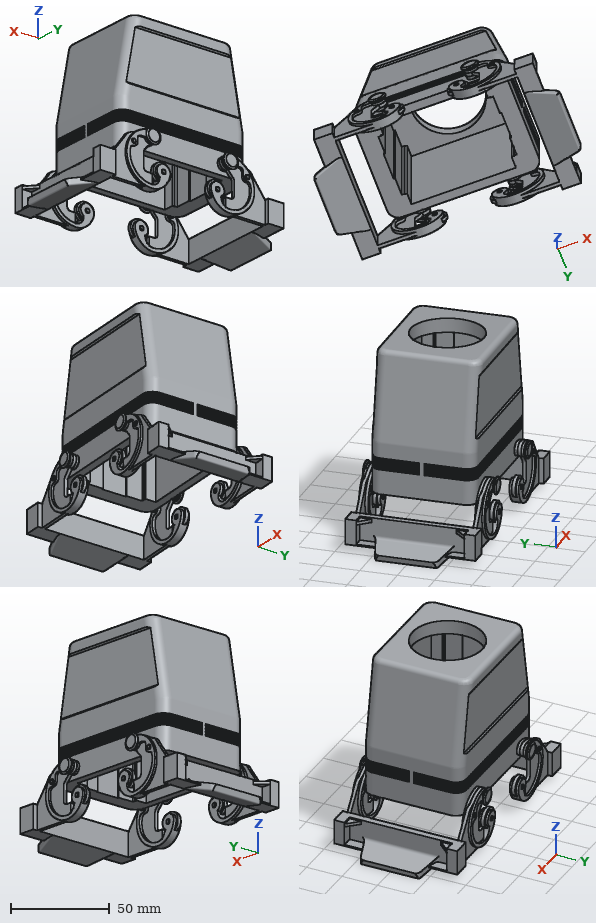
import cadquery as cq
import math


HOOD_HALF_LENGTH = 41.0
HOOD_HALF_WIDTH = 28.1
HOOD_HEIGHT = 75.2
HOOD_TOP_HALF_LENGTH = 32.5
TAPER_START_Z = 28.2
TAPER_BLEND_RADIUS = 5.3
HOOD_CORNER_RADIUS = 6.0
HOOD_TOP_RADIUS = 2.9
CABLE_HOLE_DIAMETER = 39.1
ROOF_THICKNESS = 7.7

CAVITY_STEPS = [(28.2, 23.3), (29.5, 17.0), (31.0, 16.8), (31.8, 7.2)]

RECESS_DEPTH = 0.8
RECESS_BOTTOM_Z = 34.6
RECESS_TOP_Z = 68.1
RECESS_BEVEL = 0.9

GROOVE_COUNT = 4
GROOVE_PITCH = 1.7
GROOVE_HEIGHT = 1.2
GROOVE_DEPTH = 0.4
FIRST_GROOVE_Z = 13.5
GROOVE_GAP = 2.7

ARM_INNER_Y = 28.5
ARM_OUTER_Y = 33.5
PLATE_INNER_Y = 30.2
PLATE_OUTER_Y = 32.2

PIVOT_X = -25.0
PIVOT_Z = 6.1
PIVOT_PIN_RADIUS = 2.7
PIVOT_PIN_ENGAGEMENT = 1.2
BUTTON_RADIUS = 4.7
BUTTON_FACE_RADIUS = 3.6
BUTTON_THICKNESS = 1.5
BUTTON_BEVEL_DEPTH = 0.6
BUTTON_OUTER_Y = 35.5

HOOK_RADIUS = 16.1
HOOK_BAND = 2.1
HOOK_Z = -6.3
PIVOT_BOSS_RADIUS = HOOK_Z + HOOK_RADIUS - PIVOT_Z
PLATE_RIM = 0.1
HOOK_BOTTOM_Z = HOOK_Z - HOOK_RADIUS
HOOK_INNER_RADIUS = HOOK_RADIUS - HOOK_BAND
NECK_OUTER_RADIUS = 11.8
NECK_INNER_RADIUS = 5.2

PAD_TOP_Z = 4.9
PAD_BOTTOM_Z = -1.9
PAD_EDGE_X = -34.0
PAD_TOP_RADIUS = 2.3
PAD_BOTTOM_RADIUS = 2.5
PAD_END_X = -38.7
PAD_END_MIDPOINT = (-37.9, -2.4)

SHOULDER_START = (-41.0, 2.8)
SHOULDER_MIDPOINT = (-40.0, 4.3)
SHOULDER_END = (-38.6, 5.3)
SHOULDER_TOP_X = -34.7
SLOT_X = -29.1
SLOT_FLOOR_Z = -13.5
SLOT_RADIUS = 2.1
SLOT_TOP_START = (-28.3, -1.3)
SLOT_TOP_MIDPOINT = (-28.9, -2.0)
SLOT_TOP_END_Z = -2.9
TOE_X = -23.7

TIP_X = -17.4
TIP_Z = -11.3
TIP_RADIUS = 4.3
ROLLER_RADIUS = 5.6

RIVET_X = -36.6
RIVET_Z = 0.7
RIVET_RADIUS = 1.3
RIVET_HEAD = 0.4
RIVET_BEVEL = 0.33

BAR_OUTER_X = -59.1
BAR_INNER_X = -49.1
BAR_HALF_WIDTH = 34.7
BAR_TOP_Z = -8.1
BAR_BOTTOM_Z = -22.0
POCKET_DEPTH = 6.0
POCKET_HALF_WIDTH = 28.9
POCKET_FLOOR = 0.8
POCKET_WALL_X = BAR_OUTER_X + POCKET_DEPTH
GUSSET_LENGTH = 6.4
GUSSET_THICKNESS = 1.7
GUSSET_DROP = 0.8

TAB_TIP_X = -66.5
TAB_TIP_Z = -22.5
TAB_ANGLE = math.radians(15)
TAB_THICKNESS = 3.9
TAB_TIP_HALF_WIDTH = 16.4
TAB_ROOT_HALF_WIDTH = 21.5
TAB_CORNER_RADIUS = 3.2
TAB_EDGE_RADIUS = 0.8
TAB_ROOT_RADIUS = 1.7


def box(x_range, y_range, z_range):
    """Axis-aligned box between pairs of limits."""
    size = [limits[1] - limits[0] for limits in (x_range, y_range, z_range)]
    corner = (x_range[0], y_range[0], z_range[0])
    return cq.Workplane("XY").box(*size, centered=False).translate(corner)


def side_plane(distance):
    """XZ plane at Y = -distance, with its normal toward -Y."""
    return cq.Workplane("XZ").workplane(offset=distance)


def side_disc(x, z, radius, inner_y, outer_y):
    """Disc on the -Y side, spanning two distances from the centre plane."""
    return side_plane(inner_y).center(x, z).circle(radius).extrude(outer_y - inner_y)


def hood_blank():
    """Solid hood with tapered ends and rounded edges."""
    blank = (
        cq.Workplane("XZ")
        .moveTo(-HOOD_HALF_LENGTH, 0)
        .lineTo(HOOD_HALF_LENGTH, 0)
        .lineTo(HOOD_HALF_LENGTH, TAPER_START_Z)
        .lineTo(HOOD_TOP_HALF_LENGTH, HOOD_HEIGHT)
        .lineTo(-HOOD_TOP_HALF_LENGTH, HOOD_HEIGHT)
        .lineTo(-HOOD_HALF_LENGTH, TAPER_START_Z)
        .close()
        .extrude(HOOD_HALF_WIDTH, both=True)
    )
    taper_edges = cq.selectors.BoxSelector(
        (-HOOD_HALF_LENGTH - 1.3, -1.3, TAPER_START_Z - 1.3),
        (HOOD_HALF_LENGTH + 1.3, 1.3, TAPER_START_Z + 1.3),
    )
    blank = blank.edges("|Y").edges(taper_edges).fillet(TAPER_BLEND_RADIUS)
    blank = blank.faces("<Y or >Y").edges("not(|X)").fillet(HOOD_CORNER_RADIUS)
    return blank.faces(">Z").edges().fillet(HOOD_TOP_RADIUS)


def side_recess():
    """Cutter for the bevelled flat recess on the -Y side."""
    floor_y = -HOOD_HALF_WIDTH + RECESS_DEPTH
    return (
        cq.Workplane("YZ")
        .moveTo(-HOOD_HALF_WIDTH, RECESS_BOTTOM_Z)
        .lineTo(floor_y, RECESS_BOTTOM_Z + RECESS_BEVEL)
        .lineTo(floor_y, RECESS_TOP_Z - RECESS_BEVEL)
        .lineTo(-HOOD_HALF_WIDTH, RECESS_TOP_Z)
        .close()
        .extrude(HOOD_HALF_LENGTH, both=True)
    )


def grip_groove(z):
    """V-shaped ring cutter around the hood, interrupted in the middle of each end."""
    length = 2 * HOOD_HALF_LENGTH
    width = 2 * HOOD_HALF_WIDTH
    half_height = GROOVE_HEIGHT / 2
    flank_angle = math.degrees(math.atan(GROOVE_DEPTH / half_height))
    section = cq.Sketch().rect(length, width).vertices().fillet(HOOD_CORNER_RADIUS)
    lower_core = cq.Workplane("XY").placeSketch(section).extrude(half_height, taper=flank_angle)
    upper_core = lower_core.mirror("XY").translate((0, 0, GROOVE_HEIGHT))
    block = cq.Workplane("XY").rect(length, width).extrude(GROOVE_HEIGHT)
    end_gap = cq.Workplane("XY").rect(length, GROOVE_GAP).extrude(GROOVE_HEIGHT)
    return block.cut(lower_core).cut(upper_core).cut(end_gap).translate((0, 0, z))


def hood():
    """Hollow hood with its recesses, grooves and cable hole."""
    body = hood_blank()
    recess = side_recess()
    body = body.cut(recess).cut(recess.mirror("XZ"))
    for index in range(GROOVE_COUNT):
        body = body.cut(grip_groove(FIRST_GROOVE_Z + index * GROOVE_PITCH))
    for half_length, half_width in CAVITY_STEPS:
        cavity = box(
            (-half_length, half_length),
            (-half_width, half_width),
            (0, HOOD_HEIGHT - ROOF_THICKNESS),
        )
        body = body.cut(cavity)
    cable_hole = cq.Workplane("XY").circle(CABLE_HOLE_DIAMETER / 2).extrude(HOOD_HEIGHT)
    return body.cut(cable_hole)


def hook_cheeks():
    """Hook through the full arm thickness, from the pivot round to the tip."""
    band_bottom_z = HOOK_BOTTOM_Z + HOOK_BAND
    diagonal = math.sqrt(0.5)
    pad_end_z = HOOK_Z + math.sqrt(HOOK_INNER_RADIUS**2 - (PAD_END_X - PIVOT_X) ** 2)
    neck_center_z = band_bottom_z + NECK_INNER_RADIUS
    neck_outer_mid = (
        PIVOT_X + NECK_OUTER_RADIUS * diagonal,
        HOOK_BOTTOM_Z + NECK_OUTER_RADIUS * (1 - diagonal),
    )
    outline = (
        side_plane(ARM_INNER_Y)
        .moveTo(PIVOT_X, HOOK_BOTTOM_Z)
        .threePointArc((PIVOT_X - HOOK_RADIUS, HOOK_Z), (PIVOT_X, HOOK_Z + HOOK_RADIUS))
        .lineTo(PIVOT_X, PAD_TOP_Z)
        .lineTo(PAD_EDGE_X + PAD_TOP_RADIUS, PAD_TOP_Z)
        .radiusArc((PAD_EDGE_X, PAD_TOP_Z - PAD_TOP_RADIUS), -PAD_TOP_RADIUS)
        .lineTo(PAD_EDGE_X, PAD_BOTTOM_Z + PAD_BOTTOM_RADIUS)
        .radiusArc((PAD_EDGE_X - PAD_BOTTOM_RADIUS, PAD_BOTTOM_Z), PAD_BOTTOM_RADIUS)
        .threePointArc(PAD_END_MIDPOINT, (PAD_END_X, pad_end_z))
        .threePointArc(
            (PIVOT_X - HOOK_INNER_RADIUS * diagonal, HOOK_Z - HOOK_INNER_RADIUS * diagonal),
            (PIVOT_X, band_bottom_z),
        )
        .threePointArc(
            (PIVOT_X + NECK_INNER_RADIUS * diagonal, neck_center_z - NECK_INNER_RADIUS * diagonal),
            (PIVOT_X + NECK_INNER_RADIUS, neck_center_z),
        )
        .lineTo(TIP_X, TIP_Z)
        .lineTo(TIP_X + TIP_RADIUS, TIP_Z)
        .threePointArc(neck_outer_mid, (PIVOT_X, HOOK_BOTTOM_Z))
        .close()
    )
    cheeks = outline.extrude(ARM_OUTER_Y - ARM_INNER_Y)
    cheeks = cheeks.union(side_disc(TIP_X, TIP_Z, TIP_RADIUS, ARM_INNER_Y, ARM_OUTER_Y))
    return cheeks.union(side_disc(PIVOT_X, PIVOT_Z, PIVOT_BOSS_RADIUS, ARM_INNER_Y, ARM_OUTER_Y))


def arm_plate():
    """Thin web between the cheeks, reaching back to the crossbar."""
    rim_radius = HOOK_RADIUS + PLATE_RIM
    shoulder_z = HOOK_Z + math.sqrt(rim_radius**2 - (SHOULDER_TOP_X - PIVOT_X) ** 2)
    arch_x = (SHOULDER_TOP_X + PIVOT_X) / 2
    arch_z = HOOK_Z + math.sqrt(rim_radius**2 - (arch_x - PIVOT_X) ** 2)
    boss_radius = PIVOT_BOSS_RADIUS + PLATE_RIM
    plate = (
        side_plane(PLATE_INNER_Y)
        .moveTo(BAR_INNER_X, BAR_TOP_Z)
        .lineTo(*SHOULDER_START)
        .threePointArc(SHOULDER_MIDPOINT, SHOULDER_END)
        .lineTo(SHOULDER_TOP_X, shoulder_z)
        .threePointArc((arch_x, arch_z), (PIVOT_X, HOOK_Z + rim_radius))
        .lineTo(PIVOT_X, PIVOT_Z - boss_radius)
        .lineTo(*SLOT_TOP_START)
        .threePointArc(SLOT_TOP_MIDPOINT, (SLOT_X, SLOT_TOP_END_Z))
        .lineTo(SLOT_X, SLOT_FLOOR_Z + SLOT_RADIUS)
        .radiusArc((SLOT_X + SLOT_RADIUS, SLOT_FLOOR_Z), -SLOT_RADIUS)
        .lineTo(TOE_X, SLOT_FLOOR_Z)
        .lineTo(TOE_X, BAR_BOTTOM_Z)
        .lineTo(BAR_INNER_X, BAR_BOTTOM_Z)
        .close()
        .extrude(PLATE_OUTER_Y - PLATE_INNER_Y)
    )
    return plate.union(side_disc(PIVOT_X, PIVOT_Z, boss_radius, PLATE_INNER_Y, PLATE_OUTER_Y))


def pivot_button():
    """Pin from the hood wall through the arm, ending in a bevelled head."""
    shank_start_y = ARM_INNER_Y - PIVOT_PIN_ENGAGEMENT
    shank = side_disc(PIVOT_X, PIVOT_Z, PIVOT_PIN_RADIUS, shank_start_y, BUTTON_OUTER_Y)
    head_start_y = BUTTON_OUTER_Y - BUTTON_THICKNESS
    head = side_disc(PIVOT_X, PIVOT_Z, BUTTON_RADIUS, head_start_y, BUTTON_OUTER_Y)
    head = head.edges("%CIRCLE").chamfer(BUTTON_BEVEL_DEPTH, BUTTON_RADIUS - BUTTON_FACE_RADIUS)
    return shank.union(head)


def rivet(x, z):
    """Rivet with bevelled heads standing slightly proud of both cheeks."""
    body = side_disc(x, z, RIVET_RADIUS, ARM_INNER_Y - RIVET_HEAD, ARM_OUTER_Y + RIVET_HEAD)
    return body.edges("%CIRCLE").chamfer(RIVET_BEVEL)


def lever_arm():
    """Complete arm on the -Y side."""
    roller = side_disc(TIP_X, TIP_Z, ROLLER_RADIUS, PLATE_INNER_Y, PLATE_OUTER_Y)
    arm = hook_cheeks().union(arm_plate()).union(roller).union(pivot_button())
    return arm.union(rivet(RIVET_X, RIVET_Z)).union(rivet(TIP_X, TIP_Z))


def crossbar():
    """Bar with a pocket open to the outside and top, braced in the corners."""
    bar = box(
        (BAR_OUTER_X, BAR_INNER_X),
        (-BAR_HALF_WIDTH, BAR_HALF_WIDTH),
        (BAR_BOTTOM_Z, BAR_TOP_Z),
    )
    pocket = box(
        (BAR_OUTER_X, POCKET_WALL_X),
        (-POCKET_HALF_WIDTH, POCKET_HALF_WIDTH),
        (BAR_BOTTOM_Z + POCKET_FLOOR, BAR_TOP_Z),
    )
    gusset = (
        cq.Workplane("XY")
        .workplane(offset=BAR_TOP_Z - GUSSET_DROP - GUSSET_THICKNESS)
        .moveTo(BAR_OUTER_X, -POCKET_HALF_WIDTH)
        .lineTo(POCKET_WALL_X, -POCKET_HALF_WIDTH)
        .lineTo(POCKET_WALL_X, -POCKET_HALF_WIDTH + GUSSET_LENGTH)
        .close()
        .extrude(GUSSET_THICKNESS)
    )
    return bar.cut(pocket).union(gusset).union(gusset.mirror("XZ"))


def finger_tab():
    """Sloping tab, tapered toward its rounded tip."""
    slope = math.tan(TAB_ANGLE)
    root_z = TAB_TIP_Z + (POCKET_WALL_X - TAB_TIP_X) * slope
    under_x = TAB_TIP_X + TAB_THICKNESS * math.sin(TAB_ANGLE)
    under_z = TAB_TIP_Z - TAB_THICKNESS * math.cos(TAB_ANGLE)
    tail_x = under_x + (BAR_BOTTOM_Z - under_z) / slope
    profile = (
        cq.Workplane("XZ")
        .moveTo(TAB_TIP_X, TAB_TIP_Z)
        .lineTo(POCKET_WALL_X, root_z)
        .lineTo(tail_x, root_z)
        .lineTo(tail_x, BAR_BOTTOM_Z)
        .lineTo(under_x, under_z)
        .close()
        .extrude(TAB_ROOT_HALF_WIDTH, both=True)
    )
    footprint = (
        cq.Workplane("XY")
        .workplane(offset=under_z)
        .moveTo(tail_x, -TAB_ROOT_HALF_WIDTH)
        .lineTo(TAB_TIP_X, -TAB_TIP_HALF_WIDTH)
        .lineTo(TAB_TIP_X, TAB_TIP_HALF_WIDTH)
        .lineTo(tail_x, TAB_ROOT_HALF_WIDTH)
        .close()
        .extrude(BAR_TOP_Z - under_z)
        .edges("|Z and <X")
        .fillet(TAB_CORNER_RADIUS)
    )
    tab = profile.intersect(footprint)
    downward = cq.Vector(math.sin(TAB_ANGLE), 0, -math.cos(TAB_ANGLE))
    underside = tab.faces(cq.selectors.DirectionMinMaxSelector(downward))
    return underside.edges("not >X").fillet(TAB_EDGE_RADIUS)


def locking_lever():
    """Crossbar and finger tab with an arm at each end."""
    arm = lever_arm()
    handle = crossbar().union(finger_tab())
    floor_z = BAR_BOTTOM_Z + POCKET_FLOOR
    margin = 0.1
    root_edges = cq.selectors.BoxSelector(
        (POCKET_WALL_X - margin, -TAB_ROOT_HALF_WIDTH, floor_z + margin),
        (POCKET_WALL_X + margin, TAB_ROOT_HALF_WIDTH, BAR_TOP_Z - GUSSET_DROP),
    )
    handle = handle.edges(root_edges).fillet(TAB_ROOT_RADIUS)
    return handle.union(arm).union(arm.mirror("XZ"))


lever = locking_lever()
result = hood().union(lever).union(lever.mirror("YZ"))